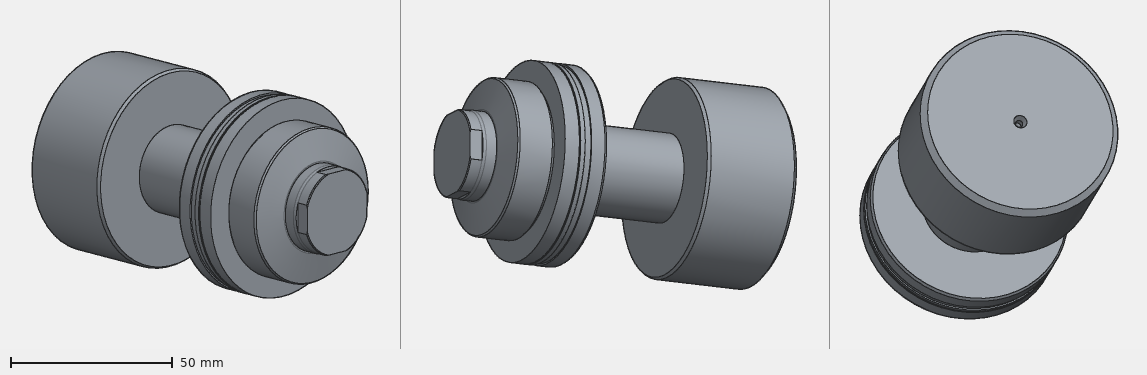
import cadquery as cq
import math

total_length = 104.0
outer_radius = 31.5

head_length = 31.2
head_front_chamfer_length = 1.7
head_front_chamfer_depth = 2.0
head_back_chamfer_length = 1.0
head_back_chamfer_depth = 0.6
shaft_radius = 14.0
shaft_end = 99.9
shaft_chamfer_length = 1.0
drive_across_flats = 26.0
drive_corner_radius = 13.8
drive_chamfer = 0.3

center_mouth_radius = 2.1
center_pilot_radius = 1.1
center_cone_angle = 60.0
center_pilot_length = 2.1
center_tip_angle = 118.0

recess_radius = 15.2
recess_depth = 4.2
flange_start = 65.7
flange_end = 80.2
flange_chamfer_length = 0.8
flange_chamfer_depth = 0.6
wide_groove_start = 71.1
wide_groove_width = 2.2
wide_groove_depth = 0.5
narrow_groove_start = 74.9
narrow_groove_width = 0.3
narrow_groove_depth = 0.3
hub_radius = 24.9
hub_front_chamfer = 1.2
hub_end = 93.1
hub_back_chamfer_length = 0.6
hub_back_chamfer_depth = 0.4
collar_end = 95.4
taper_end_radius = 14.6


def revolve_about_x(points):
    """Revolve a closed outline of (x, radius) points about the X axis."""
    return cq.Workplane("XY").polyline(points).close().revolve(360, (0, 0, 0), (1, 0, 0))


def ring_cutter(start, width, depth):
    """Ring that cuts a square groove into the flange rim."""
    floor_radius = outer_radius - depth
    return (
        cq.Workplane("YZ", origin=(start, 0, 0))
        .circle(outer_radius + depth)
        .circle(floor_radius)
        .extrude(width)
    )


def make_center_hole():
    """Conical mouth, straight pilot and drill tip."""
    cone_depth = (center_mouth_radius - center_pilot_radius) / math.tan(math.radians(center_cone_angle / 2))
    pilot_end = cone_depth + center_pilot_length
    tip_depth = center_pilot_radius / math.tan(math.radians(center_tip_angle / 2))
    return revolve_about_x([
        (0, 0),
        (0, center_mouth_radius),
        (cone_depth, center_pilot_radius),
        (pilot_end, center_pilot_radius),
        (pilot_end + tip_depth, 0),
    ])


def make_drive():
    """Square with rounded corners, chamfered at its free end."""
    drive_round = revolve_about_x([
        (shaft_end, 0),
        (shaft_end, drive_corner_radius),
        (total_length - drive_chamfer, drive_corner_radius),
        (total_length, drive_corner_radius - drive_chamfer),
        (total_length, 0),
    ])
    square = (
        cq.Workplane("YZ", origin=(shaft_end, 0, 0))
        .rect(drive_across_flats, drive_across_flats)
        .extrude(total_length - shaft_end)
    )
    return drive_round.intersect(square)


def make_pin():
    head_and_shaft = revolve_about_x([
        (0, 0),
        (0, outer_radius - head_front_chamfer_depth),
        (head_front_chamfer_length, outer_radius),
        (head_length - head_back_chamfer_length, outer_radius),
        (head_length, outer_radius - head_back_chamfer_depth),
        (head_length, shaft_radius),
        (shaft_end - shaft_chamfer_length, shaft_radius),
        (shaft_end, drive_corner_radius),
        (shaft_end, 0),
    ])
    return head_and_shaft.union(make_drive()).cut(make_center_hole())


def make_collar():
    collar = revolve_about_x([
        (flange_start + recess_depth, shaft_radius),
        (flange_start + recess_depth, recess_radius),
        (flange_start, recess_radius),
        (flange_start, outer_radius - flange_chamfer_depth),
        (flange_start + flange_chamfer_length, outer_radius),
        (flange_end, outer_radius),
        (flange_end, hub_radius - hub_front_chamfer),
        (flange_end + hub_front_chamfer, hub_radius),
        (hub_end - hub_back_chamfer_length, hub_radius),
        (hub_end, hub_radius - hub_back_chamfer_depth),
        (collar_end, taper_end_radius),
        (collar_end, shaft_radius),
    ])
    wide_groove = ring_cutter(wide_groove_start, wide_groove_width, wide_groove_depth)
    narrow_groove = ring_cutter(narrow_groove_start, narrow_groove_width, narrow_groove_depth)
    return collar.cut(wide_groove).cut(narrow_groove)


pin = make_pin().solids()
collar = make_collar().solids()

result = cq.Compound.makeCompound([pin.val(), collar.val()])